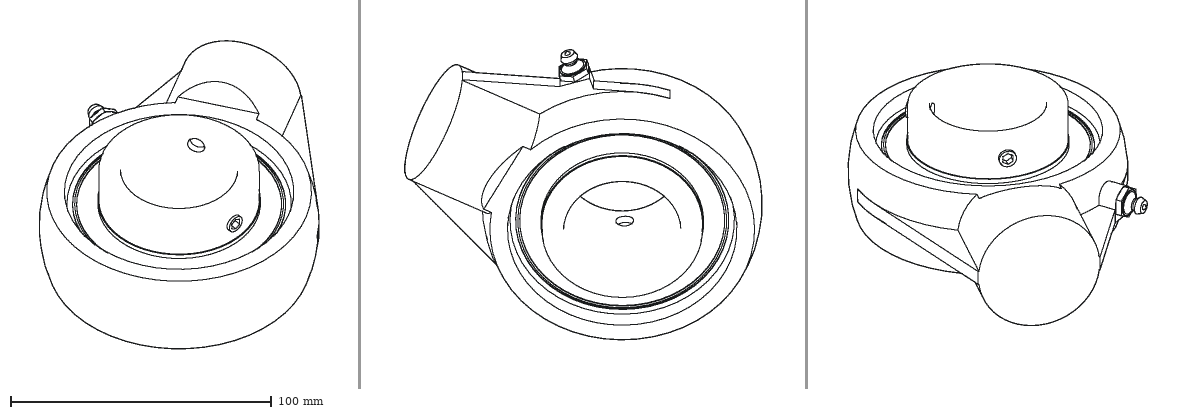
import cadquery as cq
import math


HOUSING_R = 53.8
HOUSING_HALF_WIDTH = 17.6
RECESS_R = 44.1
RECESS_FILLET = 1.0
MOUNT_R = 24.0
MOUNT_END_Y = 81.8
MOUNT_START_Y = math.sqrt(HOUSING_R**2 - MOUNT_R**2)
MOUNT_BEVEL_Y = 51.5
WEB_HALF_THICKNESS = 2.8
WEB_END_HALF_WIDTH = 24.1
WEB_LOW_Y = 7.2

NIPPLE_ANGLE = 135.0
NIPPLE_Z = 4.0
PAD_R = 6.0
PAD_END = 60.8
HEX_ACROSS_FLATS = 11.1
HEX_THICKNESS = 2.5
COLLAR_R = 5.2
CONE_BASE_R = 4.5
CONE_TOP_R = 2.8
NECK_R = 2.5
HEAD_R = 3.4
HEAD_FACE_R = 2.6
TIP_R = 1.1
COLLAR_TOP = 2.8
CONE_TOP = 4.3
NECK_START = 5.0
NECK_END = 5.7
HEAD_WIDEST = 7.0
HEAD_FACE = 9.2
TIP_HEIGHT = 0.8

RING_HALF_WIDTH = 11.4
RING_EDGE_R = RECESS_R - RECESS_FILLET
RING_SPHERE_R = math.hypot(RING_EDGE_R, RING_HALF_WIDTH)
RING_BORE_R = 76.6 / 2
SEAL_SEAT_R = 41.0
SEAL_SEAT_Z = 9.5

BORE_R = 45.0 / 2
INNER_TOP_Z = 30.1
INNER_BOTTOM_Z = -19.0
INNER_END_R = 61.7 / 2
INNER_RACE_R = 62.5 / 2
INNER_RACE_HALF_WIDTH = 13.4
INNER_FILLET = 1.0

SEAL_RIM_OUTER_R = 40.1
SEAL_RIM_INNER_R = 78.8 / 2
SEAL_RIM_DROP = 0.5
SEAL_OUTER_Z = 11.0
SEAL_INNER_Z = 11.5

SCREW_ANGLES = (90.0, -30.0)
SCREW_R = 3.4
SCREW_Z = 22.2
SCREW_INNER_END = 25.4
SCREW_OUTER_END = 32.0
SOCKET_ACROSS_FLATS = 4.1
SOCKET_DEPTH = 2.7


def revolve_about_z(profile):
    return profile.close().revolve(360, (0, 0, 0), (0, 1, 0))


def radial_plane(angle, distance, height):
    """Plane facing away from the shaft axis, with its local Y along Z."""
    a = math.radians(angle)
    outward = (math.cos(a), math.sin(a), 0)
    origin = (distance * outward[0], distance * outward[1], height)
    return cq.Plane(origin=origin, xDir=(-outward[1], outward[0], 0), normal=outward)


def hexagon_diameter(across_flats):
    return across_flats / math.cos(math.pi / 6)


def make_mount():
    """Round boss along Y, bevelled down to the thickness of the ring."""
    bevel_end_y = MOUNT_BEVEL_Y + MOUNT_R - HOUSING_HALF_WIDTH
    boss = (
        cq.Workplane("XZ", origin=(0, MOUNT_END_Y, 0))
        .circle(MOUNT_R)
        .extrude(MOUNT_END_Y - MOUNT_START_Y)
    )
    side_outline = (
        cq.Workplane("YZ")
        .moveTo(0, -HOUSING_HALF_WIDTH)
        .lineTo(MOUNT_BEVEL_Y, -HOUSING_HALF_WIDTH)
        .lineTo(bevel_end_y, -MOUNT_R)
        .lineTo(MOUNT_END_Y, -MOUNT_R)
        .lineTo(MOUNT_END_Y, MOUNT_R)
        .lineTo(bevel_end_y, MOUNT_R)
        .lineTo(MOUNT_BEVEL_Y, HOUSING_HALF_WIDTH)
        .lineTo(0, HOUSING_HALF_WIDTH)
        .close()
        .extrude(MOUNT_R, both=True)
    )
    neck_half_width = math.sqrt(MOUNT_R**2 - HOUSING_HALF_WIDTH**2)
    neck = cq.Workplane("XY").box(
        2 * neck_half_width, MOUNT_START_Y, 2 * HOUSING_HALF_WIDTH, centered=(True, False, True)
    )
    return boss.intersect(side_outline).union(neck)


def make_web():
    """Flat plate whose edges run from the end of the mount tangent to the housing's rim."""
    corner_distance = math.hypot(WEB_END_HALF_WIDTH, MOUNT_END_Y)
    tangent_angle = math.atan2(MOUNT_END_Y, WEB_END_HALF_WIDTH) - math.acos(HOUSING_R / corner_distance)
    low_angle = math.asin(WEB_LOW_Y / HOUSING_R)

    def rim(angle):
        return HOUSING_R * math.cos(angle), HOUSING_R * math.sin(angle)

    middle_angle = (tangent_angle + low_angle) / 2
    right_half = (
        cq.Workplane("XY", origin=(0, 0, -WEB_HALF_THICKNESS))
        .moveTo(0, MOUNT_END_Y)
        .lineTo(WEB_END_HALF_WIDTH, MOUNT_END_Y)
        .lineTo(*rim(tangent_angle))
        .threePointArc(rim(middle_angle), rim(low_angle))
        .lineTo(0, WEB_LOW_Y)
        .close()
        .extrude(2 * WEB_HALF_THICKNESS)
    )
    return right_half.union(right_half.mirror("YZ"))


def make_nipple_pad():
    """Arched pad, round above the nipple's axis and straight down to the underside of the web."""
    drop = NIPPLE_Z + WEB_HALF_THICKNESS
    return (
        cq.Workplane(radial_plane(NIPPLE_ANGLE, PAD_END, NIPPLE_Z))
        .moveTo(-PAD_R, -drop)
        .lineTo(PAD_R, -drop)
        .lineTo(PAD_R, 0)
        .threePointArc((0, PAD_R), (-PAD_R, 0))
        .close()
        .extrude(RING_SPHERE_R - PAD_END)
    )


def make_housing_cavity():
    """Spherical seat for the outer ring, opening into a filleted recess on each side."""
    fillet_top = RING_HALF_WIDTH + RECESS_FILLET
    fillet_mid_r = RING_EDGE_R + RECESS_FILLET * math.sin(math.pi / 4)
    fillet_mid_z = fillet_top - RECESS_FILLET * math.cos(math.pi / 4)
    return revolve_about_z(
        cq.Workplane("XZ")
        .moveTo(0, -HOUSING_HALF_WIDTH)
        .lineTo(RECESS_R, -HOUSING_HALF_WIDTH)
        .lineTo(RECESS_R, -fillet_top)
        .threePointArc((fillet_mid_r, -fillet_mid_z), (RING_EDGE_R, -RING_HALF_WIDTH))
        .threePointArc((RING_SPHERE_R, 0), (RING_EDGE_R, RING_HALF_WIDTH))
        .threePointArc((fillet_mid_r, fillet_mid_z), (RECESS_R, fillet_top))
        .lineTo(RECESS_R, HOUSING_HALF_WIDTH)
        .lineTo(0, HOUSING_HALF_WIDTH)
    )


def make_housing():
    ball = cq.Workplane("XY").sphere(HOUSING_R)
    slab = cq.Workplane("XY").box(2 * HOUSING_R, 2 * HOUSING_R, 2 * HOUSING_HALF_WIDTH)
    body = ball.intersect(slab).union(make_mount()).union(make_web()).union(make_nipple_pad())
    return body.cut(make_housing_cavity())


def make_outer_ring():
    return revolve_about_z(
        cq.Workplane("XZ")
        .moveTo(SEAL_SEAT_R, -RING_HALF_WIDTH)
        .lineTo(RING_EDGE_R, -RING_HALF_WIDTH)
        .threePointArc((RING_SPHERE_R, 0), (RING_EDGE_R, RING_HALF_WIDTH))
        .lineTo(SEAL_SEAT_R, RING_HALF_WIDTH)
        .lineTo(SEAL_SEAT_R, SEAL_SEAT_Z)
        .lineTo(RING_BORE_R, SEAL_SEAT_Z)
        .lineTo(RING_BORE_R, -SEAL_SEAT_Z)
        .lineTo(SEAL_SEAT_R, -SEAL_SEAT_Z)
    )


def make_screw_hole(angle):
    return (
        cq.Workplane(radial_plane(angle, 0, SCREW_Z))
        .circle(SCREW_R)
        .extrude(SCREW_OUTER_END)
    )


def make_inner_ring():
    """Sleeve with rounded ends, a slightly thicker race and two screw holes."""
    sleeve = (
        cq.Workplane("XY", origin=(0, 0, INNER_BOTTOM_Z))
        .circle(INNER_END_R)
        .circle(BORE_R)
        .extrude(INNER_TOP_Z - INNER_BOTTOM_Z)
        .faces("<Z or >Z")
        .edges()
        .fillet(INNER_FILLET)
    )
    race = (
        cq.Workplane("XY", origin=(0, 0, -INNER_RACE_HALF_WIDTH))
        .circle(INNER_RACE_R)
        .circle(BORE_R)
        .extrude(2 * INNER_RACE_HALF_WIDTH)
    )
    ring = sleeve.union(race)
    for angle in SCREW_ANGLES:
        ring = ring.cut(make_screw_hole(angle))
    return ring


def make_seal():
    """Upper seal: a shallow cone with a raised, bevelled rim."""
    return revolve_about_z(
        cq.Workplane("XZ")
        .moveTo(INNER_RACE_R, SEAL_SEAT_Z)
        .lineTo(SEAL_SEAT_R, SEAL_SEAT_Z)
        .lineTo(SEAL_SEAT_R, RING_HALF_WIDTH - SEAL_RIM_DROP)
        .lineTo(SEAL_RIM_OUTER_R, RING_HALF_WIDTH)
        .lineTo(SEAL_RIM_INNER_R, RING_HALF_WIDTH)
        .lineTo(SEAL_RIM_INNER_R, SEAL_OUTER_Z)
        .lineTo(INNER_RACE_R, SEAL_INNER_Z)
    )


def make_set_screw(angle):
    screw = (
        cq.Workplane(radial_plane(angle, SCREW_INNER_END, SCREW_Z))
        .circle(SCREW_R)
        .extrude(SCREW_OUTER_END - SCREW_INNER_END)
    )
    socket = (
        cq.Workplane(radial_plane(angle, SCREW_OUTER_END, SCREW_Z))
        .transformed(rotate=(0, 0, 90))
        .polygon(6, hexagon_diameter(SOCKET_ACROSS_FLATS))
        .extrude(-SOCKET_DEPTH)
    )
    return screw.cut(socket)


def make_nipple():
    seat = radial_plane(NIPPLE_ANGLE, PAD_END, NIPPLE_Z)
    hexagon = (
        cq.Workplane(seat)
        .transformed(rotate=(0, 0, 90))
        .polygon(6, hexagon_diameter(HEX_ACROSS_FLATS))
        .extrude(HEX_THICKNESS)
    )
    profile_plane = cq.Plane(origin=seat.origin, xDir=(0, 0, 1), normal=seat.xDir)
    tip_sphere_r = (TIP_R**2 + TIP_HEIGHT**2) / (2 * TIP_HEIGHT)
    stem = (
        cq.Workplane(profile_plane)
        .lineTo(COLLAR_R, 0)
        .lineTo(COLLAR_R, COLLAR_TOP)
        .lineTo(CONE_BASE_R, COLLAR_TOP)
        .lineTo(CONE_TOP_R, CONE_TOP)
        .lineTo(NECK_R, NECK_START)
        .lineTo(NECK_R, NECK_END)
        .lineTo(HEAD_R, HEAD_WIDEST)
        .lineTo(HEAD_FACE_R, HEAD_FACE)
        .lineTo(TIP_R, HEAD_FACE)
        .radiusArc((0, HEAD_FACE + TIP_HEIGHT), -tip_sphere_r)
        .close()
        .revolve(360, (0, 0, 0), (0, 1, 0))
    )
    return hexagon.union(stem)


housing = make_housing()
outer_ring = make_outer_ring()
inner_ring = make_inner_ring()
upper_seal = make_seal()
seals = [upper_seal, upper_seal.mirror("XY")]
set_screws = [make_set_screw(angle) for angle in SCREW_ANGLES]
nipple = make_nipple()

bodies = [housing, outer_ring, inner_ring, *seals, *set_screws, nipple]
result = cq.Compound.makeCompound([body.solids().val() for body in bodies])